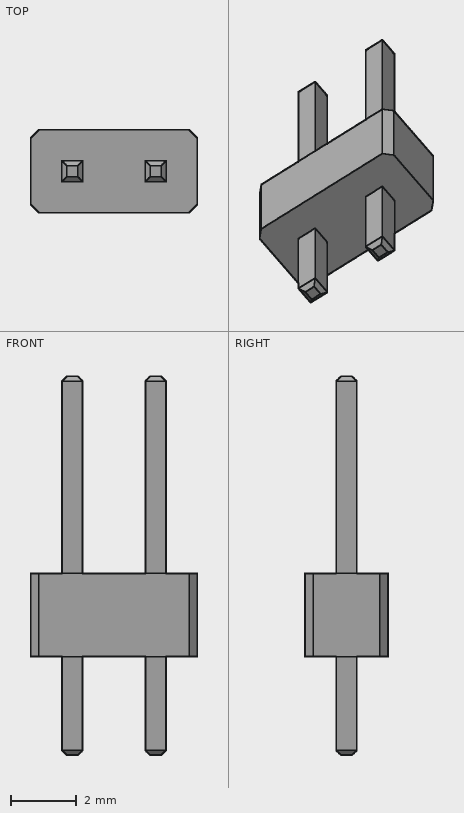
import cadquery as cq

pin_count = 2
pitch = 2.54
body_length = pin_count * pitch
body_width = pitch
body_height = pitch
corner_chamfer = 0.25

pin_side = 0.63
pin_below = 3.0
pin_above = 6.0
pin_length = pin_below + body_height + pin_above
tip_chamfer = 0.15


def make_body():
    """Block standing on Z = 0 with chamfered vertical corners."""
    block = cq.Workplane("XY").box(body_length, body_width, body_height, centered=(True, True, False))
    return block.edges("|Z").chamfer(corner_chamfer)


def make_pin(x):
    """Square pin at the given X, with both tips chamfered on all four sides."""
    pin = cq.Workplane("XY").box(pin_side, pin_side, pin_length, centered=(True, True, False))
    pin = pin.faces("<Z or >Z").edges().chamfer(tip_chamfer)
    return pin.translate((x, 0, -pin_below))


result = make_body()
first_pin_x = -(pin_count - 1) * pitch / 2
for index in range(pin_count):
    result = result.union(make_pin(first_pin_x + index * pitch))